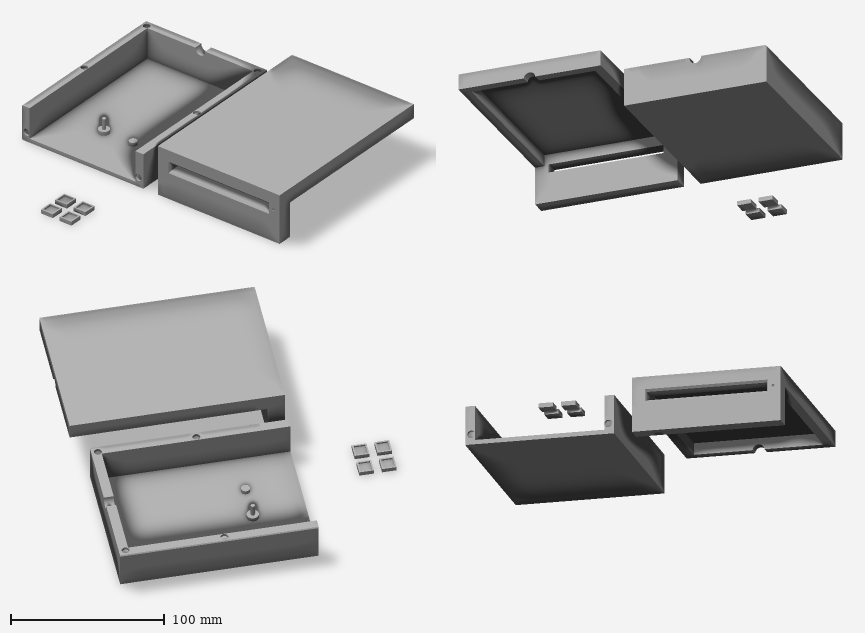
import cadquery as cq

overall_x = 212.0
case_width = 100.0
tray_length = 131.9
tray_height = 26.3
wall = 6.5
floor = 3.0
front_panel_thickness = 11.0
cover_height = 37.0
cover_length = tray_length + front_panel_thickness
cover_left = overall_x - case_width
case_front = 64.9
tray_back = case_front + tray_length
cover_back = case_front + cover_length

cable_hole_diameter = 8.0
cable_center_drop = 0.5
cable_z = tray_height - cable_center_drop

edge_chamfer = 0.6
magnet_hole_diameter = 5.0
magnet_hole_depth = 2.0
front_hole_inset = 4.0
front_hole_height = 7.0
corner_hole_inset = 4.5
middle_hole_inset = 3.8
middle_hole_from_back = 70.0
post_from_front = 35.8
post_x = 40.0
post_base_diameter = 8.0
stud_x = 64.0
stud_diameter = 6.0
stud_height = 2.8
post_pin_diameter = 2.8
post_pin_height = 8.0

slot_width = 80.8
slot_bottom = 21.2
slot_top = 27.0
slot_flare_side = 0.8
slot_flare_height = 1.5
slot_flare_depth = 1.5
lamp_diameter = 2.0
lamp_depth = 1.0
lamp_from_right = 5.0
lamp_height = 24.2

foot_size = 9.8
foot_height = 3.0
foot_pitch_x = 15.3
foot_pitch_y = 15.0
foot_left = 66.0
foot_rim = 1.0
foot_recess_depth = 1.0


def box(x, y, z, length, width, height):
    """Box given by its lowest corner and its sizes."""
    return cq.Workplane("XY").box(length, width, height, centered=False).translate((x, y, z))


def upright_cylinder(x, y, z, diameter, height):
    """Cylinder standing on the point (x, y, z)."""
    return cq.Workplane("XY", origin=(x, y, z)).circle(diameter / 2).extrude(height)


def cylinder_along_y(x, y, z, diameter, length):
    """Cylinder that starts at (x, y, z) and runs towards +Y."""
    return cq.Workplane("XZ", origin=(x, y, z)).circle(diameter / 2).extrude(-length)


def make_tray():
    """Open-fronted tray with shallow magnet holes in its walls and two studs on its floor."""
    tray = box(0, case_front, 0, case_width, tray_length, tray_height)
    outer_left_edges = cq.selectors.BoxSelector(
        (-edge_chamfer, case_front - edge_chamfer, tray_height / 4),
        (edge_chamfer, tray_back - edge_chamfer, tray_height + edge_chamfer),
    )
    tray = tray.edges(outer_left_edges).chamfer(edge_chamfer)
    inner_width = case_width - 2 * wall
    tray = tray.cut(box(wall, case_front, floor, inner_width, tray_length - wall, tray_height))

    tray = tray.cut(cylinder_along_y(case_width / 2, tray_back - wall, cable_z, cable_hole_diameter, wall))
    tray = tray.cut(
        box(
            case_width / 2 - cable_hole_diameter / 2, tray_back - wall, cable_z,
            cable_hole_diameter, wall, cable_center_drop,
        )
    )

    top_holes = [
        (corner_hole_inset, tray_back - corner_hole_inset),
        (case_width - corner_hole_inset, tray_back - corner_hole_inset),
        (middle_hole_inset, tray_back - middle_hole_from_back),
        (case_width - middle_hole_inset, tray_back - middle_hole_from_back),
    ]
    for x, y in top_holes:
        tray = tray.cut(
            upright_cylinder(x, y, tray_height - magnet_hole_depth, magnet_hole_diameter, magnet_hole_depth)
        )

    for x in (front_hole_inset, case_width - front_hole_inset):
        tray = tray.cut(
            cylinder_along_y(x, case_front, front_hole_height, magnet_hole_diameter, magnet_hole_depth)
        )

    post_y = case_front + post_from_front
    pin_bottom = floor + stud_height
    tray = tray.union(upright_cylinder(post_x, post_y, floor, post_base_diameter, stud_height))
    tray = tray.union(upright_cylinder(post_x, post_y, pin_bottom, post_pin_diameter, post_pin_height))
    return tray.union(upright_cylinder(stud_x, post_y, floor, stud_diameter, stud_height))


def make_disc_slot():
    """Through slot of the front panel, flared towards the front."""
    center_x = cover_left + case_width / 2
    slot_height = slot_top - slot_bottom
    slot = box(
        center_x - slot_width / 2, case_front, slot_bottom,
        slot_width, front_panel_thickness, slot_height,
    )
    flare = (
        cq.Workplane("XZ", origin=(center_x, case_front, (slot_bottom + slot_top) / 2))
        .rect(slot_width + 2 * slot_flare_side, slot_height + 2 * slot_flare_height)
        .workplane(offset=-slot_flare_depth)
        .rect(slot_width, slot_height)
        .loft(ruled=True)
    )
    return slot.union(flare)


def make_cover():
    """Shallow hollow lid with a tall front panel."""
    rim_depth = cover_height - tray_height
    cover = box(cover_left, case_front, tray_height, case_width, cover_length, rim_depth)
    cover = cover.union(box(cover_left, case_front, 0, case_width, front_panel_thickness, cover_height))
    cover = cover.cut(
        box(
            cover_left + wall, case_front + front_panel_thickness, tray_height,
            case_width - 2 * wall, tray_length - wall, rim_depth - floor,
        )
    )
    cover = cover.cut(make_disc_slot())
    cover = cover.cut(
        cylinder_along_y(
            cover_left + case_width / 2, cover_back - wall, cable_z, cable_hole_diameter, wall
        )
    )
    return cover.cut(
        cylinder_along_y(overall_x - lamp_from_right, case_front, lamp_height, lamp_diameter, lamp_depth)
    )


def make_foot(x, y):
    """Square foot with a shallow square recess in its top."""
    foot = box(x, y, 0, foot_size, foot_size, foot_height)
    recess_size = foot_size - 2 * foot_rim
    recess_floor = foot_height - foot_recess_depth
    return foot.cut(
        box(x + foot_rim, y + foot_rim, recess_floor, recess_size, recess_size, foot_recess_depth)
    )


tray = make_tray()
cover = make_cover()
feet = []
for column in range(2):
    for row in range(2):
        feet.append(make_foot(foot_left + column * foot_pitch_x, row * foot_pitch_y))

result = cq.Compound.makeCompound([tray.val(), cover.val(), *[foot.val() for foot in feet]])